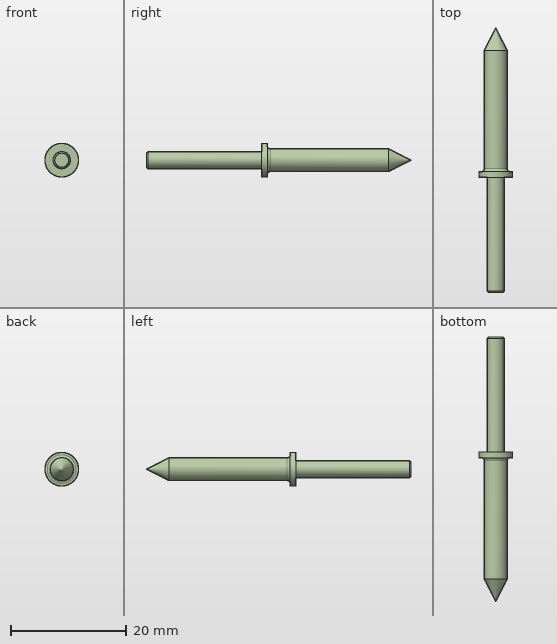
import cadquery as cq

total_length = 46.0
shank_diameter = 3.0
shank_length = 20.0
shank_end_chamfer = 0.28
flange_diameter = 5.9
flange_thickness = 1.0
body_diameter = 4.0
tip_length = 3.9
root_fillet = 0.5

shank_radius = shank_diameter / 2
flange_radius = flange_diameter / 2
body_radius = body_diameter / 2
shank_end = -shank_length
tip_end = shank_end + total_length
tip_base = tip_end - tip_length
root_end = flange_thickness + root_fillet


def revolved_pin():
    """Revolve the half outline (radius, Y) about the Y axis."""
    return (
        cq.Workplane("XY")
        .moveTo(0, shank_end)
        .lineTo(shank_radius - shank_end_chamfer, shank_end)
        .lineTo(shank_radius, shank_end + shank_end_chamfer)
        .lineTo(shank_radius, 0)
        .lineTo(flange_radius, 0)
        .lineTo(flange_radius, flange_thickness)
        .lineTo(body_radius + root_fillet, flange_thickness)
        .radiusArc((body_radius, root_end), root_fillet)
        .lineTo(body_radius, tip_base)
        .lineTo(0, tip_end)
        .close()
        .revolve(360, (0, 0, 0), (0, 1, 0))
    )


result = revolved_pin()